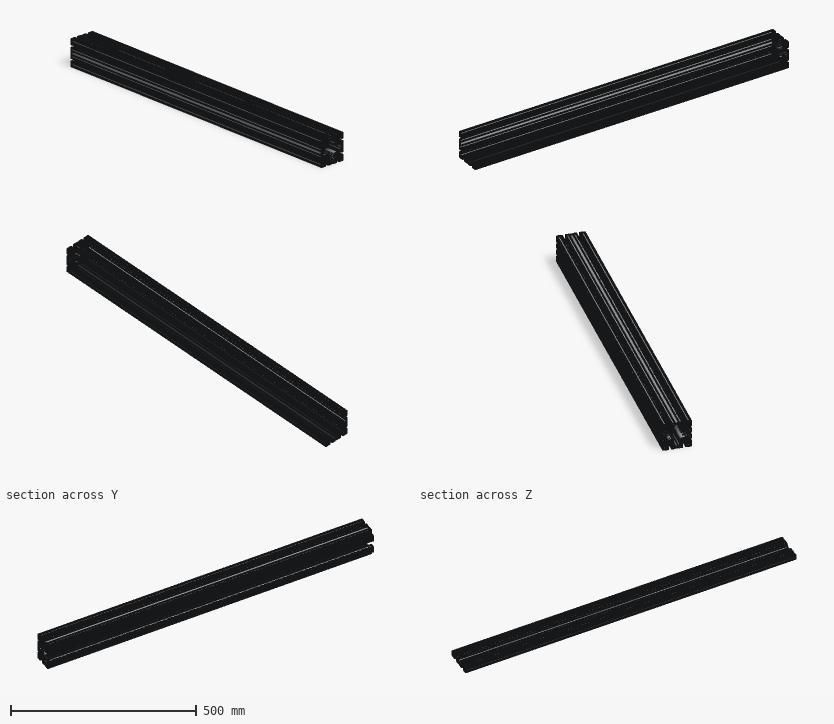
import cadquery as cq

LENGTH = 1000.0
SIDE = 80.0
HALF = SIDE / 2
CORNER_RADIUS = 3.0
CELL = HALF / 2

SLOT_WIDTH = 10.0
SLOT_EDGE_CHAMFER = 0.5
LIP_THICKNESS = 6.55
UNDERCUT_WIDTH = 19.0
UNDERCUT_DEPTH = 8.0
SLOT_DEPTH = 12.75
SLOT_FLOOR_WIDTH = 12.5

FACE_GROOVE_WIDTH = 12.0
FACE_GROOVE_DEPTH = 1.0

BORE_WIDTH = 10.9
BORE_CORNER_RADIUS = 2.0
BORE_RIB_WIDTH = 2.4
BORE_RIB_GAP = 9.0

CORNER_WALL = 2.3
HOLLOW_END = 30.0
HOLLOW_INNER = 30.5

CAVITY_REACH = 35.0
CAVITY_TIP_HALF_WIDTH = 4.25
CAVITY_SHOULDER = (7.5, 32.0)
CORE_FACE = 11.5
ARM_TAPER_START = 26.0
CORE_CORNER_RADIUS = 2.5
SELECTION_MARGIN = 1.0


def prism(outline):
    """Extrude a closed YZ outline over the full length, centred on X."""
    return outline.extrude(LENGTH / 2, both=True)


def around(shape):
    """The shape repeated on the four sides of the profile."""
    copies = shape
    for quarter in range(1, 4):
        copies = copies.union(shape.rotate((0, 0, 0), (1, 0, 0), 90 * quarter))
    return copies


def bar():
    """The full bar with rounded long edges."""
    return prism(cq.Workplane("YZ").rect(SIDE, SIDE)).edges("|X").fillet(CORNER_RADIUS)


def slot(centre):
    """A T-slot opening on the +Z side; its mouth edges are chamfered."""
    right_half = [
        (SLOT_WIDTH / 2 + SLOT_EDGE_CHAMFER, HALF),
        (SLOT_WIDTH / 2, HALF - SLOT_EDGE_CHAMFER),
        (SLOT_WIDTH / 2, HALF - LIP_THICKNESS),
        (UNDERCUT_WIDTH / 2, HALF - LIP_THICKNESS),
        (UNDERCUT_WIDTH / 2, HALF - UNDERCUT_DEPTH),
        (SLOT_FLOOR_WIDTH / 2, HALF - SLOT_DEPTH),
    ]
    left_half = [(-y, z) for y, z in reversed(right_half)]
    points = [(centre + y, z) for y, z in right_half + left_half]
    return prism(cq.Workplane("YZ").polyline(points).close())


def face_groove():
    """The groove on the +Z side."""
    centre_z = HALF - FACE_GROOVE_DEPTH / 2
    return prism(cq.Workplane("YZ").center(0, centre_z).rect(FACE_GROOVE_WIDTH, FACE_GROOVE_DEPTH))


def core_bore():
    """A rounded square bore with an inward rib in the middle of each side."""
    centres = cq.Workplane("YZ").center(CELL, CELL)
    square = prism(centres.rect(BORE_WIDTH, BORE_WIDTH)).edges("|X").fillet(BORE_CORNER_RADIUS)
    gap_between_ribs = prism(centres.rect(BORE_RIB_GAP, BORE_RIB_GAP))
    across = prism(centres.rect(BORE_WIDTH, BORE_RIB_WIDTH))
    upright = prism(centres.rect(BORE_RIB_WIDTH, BORE_WIDTH))
    ribs = across.union(upright).cut(gap_between_ribs)
    return square.cut(ribs)


def corner_hollow():
    """The kite-shaped hollow in the +Y +Z corner."""
    outer = HALF - CORNER_WALL
    points = [(HOLLOW_END, outer), (outer, outer), (outer, HOLLOW_END), (HOLLOW_INNER, HOLLOW_INNER)]
    return prism(cq.Workplane("YZ").polyline(points).close())


def central_cavity():
    """A cross whose arms narrow outwards; its inner corners round the cores."""
    upper_right = [(CAVITY_TIP_HALF_WIDTH, CAVITY_REACH), CAVITY_SHOULDER, (CORE_FACE, ARM_TAPER_START)]
    quarter = upper_right + [(CORE_FACE, CORE_FACE)] + [(z, y) for y, z in reversed(upper_right)]
    right = quarter + [(y, -z) for y, z in reversed(quarter)]
    left = [(-y, z) for y, z in reversed(right)]
    cross = prism(cq.Workplane("YZ").polyline(right + left).close())
    reach = CORE_FACE + SELECTION_MARGIN
    core_corners = cq.selectors.BoxSelector((-LENGTH, -reach, -reach), (LENGTH, reach, reach))
    return cross.edges("|X").edges(core_corners).fillet(CORE_CORNER_RADIUS)


result = bar().cut(central_cavity())
for cutter in (slot(CELL), slot(-CELL), face_groove(), core_bore(), corner_hollow()):
    result = result.cut(around(cutter))
result = cq.Workplane(result.solids().val())